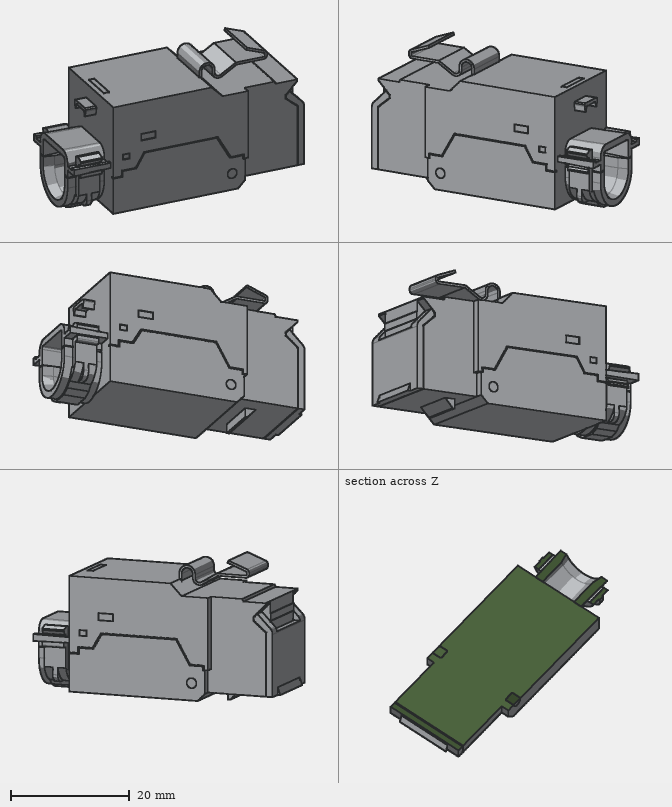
import math

import cadquery as cq


HOUSING_WIDTH = 17.5
HOUSING_TOP = 19.85
DECK_TOP = 17.8
RAMP_FRONT_Y = 18.38
RAMP_REAR_Y = 20.45
SHOULDER_REAR_Y = 25.2
FLANK_REAR_Y = 24.65
SHOULDER_BOTTOM = 5.4
FLANK_CHAMFER = 1.3

JACK_WIDTH = 14.65
JACK_BOTTOM = 1.3
JACK_REAR_Y = 35.1
JACK_LIP_TOP = 17.35
JACK_LIP_FRONT_Y = 31.05
JACK_LIP_STEP_RUN = 0.2
CATCH_FRONT_Y = 26.9
CATCH_TIP_Y = 27.35
CATCH_REAR_Y = 28.85
CATCH_TIP_Z = -0.3
CATCH_WIDTH = 7.88

CORE_WIDTH = 10.4
PAD_THICKNESS = 0.15
PAD_BOTTOM = 13.95
PAD_TOP = 15.25

SEAM_WIDTH = 0.18
SEAM_DEPTH = 0.55
SEAM_PATH = [
    (24.35, SHOULDER_BOTTOM),
    (24.35, 6.1),
    (21.9, 6.1),
    (19.45, 10.32),
    (5.8, 10.32),
    (4.25, 7.7),
    (1.65, 7.7),
    (1.65, 6.65),
    (-0.45, 6.65),
]

WINDOW_DEPTH = 0.2
WINDOWS = [
    (5.25, 12.6, 2.65, 1.22),
    (1.85, 9.7, 1.25, 0.95),
]

TAB_LENGTH = 2.0
TAB_TOP = 17.25
TAB_HALF_PROFILE = [
    (0, 16.6),
    (1.45, 16.6),
    (1.65, 15.65),
    (1.92, 15.65),
    (2.2, 16.8),
    (2.2, 17.0),
    (1.9, TAB_TOP),
    (0, TAB_TOP),
]

SLOT_WIDTH = 6.0
SLOT_FRONT_Y = 1.0
SLOT_LENGTH = 1.0
SLOT_DEPTH = 0.88
INSERT_END_GAP = 0.15

PIN_RADIUS = 0.88
PIN_LENGTH = 1.75
PIN_Y = 22.22
PIN_Z = 3.0

COVER_GAP = 0.15
COVER_REAR_Y = 36.35
COVER_CUTOUT_BOTTOM = 12.3
COVER_BEND_RADIUS = 1.3
TOE_WIDTH = 9.95
TOE_TIP_Y = 36.85
TOE_TOP = 2.62
NOTCH_TOP_Z = 17.05
NOTCH_BOTTOM_Z = 12.35
NOTCH_FRONT_Y = 32.85
NOTCH_FLAT = 0.6

CLIP_WIDTH = 8.58
CLIP_THICKNESS = 0.45
CLIP_FOOT_Z = 19.25
CLIP_LOOP_RADIUS = 1.22
CLIP_FRONT_Y = 18.4
CLIP_LOOP_Z = 20.82
CLIP_VALLEY_Z = 18.5
CLIP_VALLEY_RADIUS = 0.95
CLIP_FLAT_RADIUS = 1.3
CLIP_HEM_RADIUS = 0.45
CLIP_FLAT_Y = 25.1
CLIP_FLAT_Z = 21.05
CLIP_REAR_Y = 30.65
CLIP_HEM_Z = 22.05
CLIP_END_Y = 27.05
CLIP_END_Z = 23.4

COLLAR_LENGTH = 6.9
COLLAR_DRAFT = 1.0
COLLAR_RADIUS = 5.35
COLLAR_CENTRE_Z = 4.8
COLLAR_TOP = 11.2
COLLAR_TOP_RADIUS = 1.95
BORE_RADIUS = 4.15
BORE_TOP = 10.0
BORE_TOP_RADIUS = 0.45
GRIP_RADIUS = 3.75
MOUTH_DEPTH = 1.9
PARTING_Z = 6.65
PARTING_GAP = 0.15
PARTING_RISE = 0.25

WING_TIP_X = 7.88
WING_BOTTOM = 8.05
WING_FLOOR = 8.85
RAIL_INNER_X = 6.95
RAIL_TOP = 9.25

ARM_FRONT_Y = -5.42
ARM_LENGTH = 3.95
ARM_INNER_X = 5.45
ARM_OUTER_X = 6.5
ARM_BOTTOM = 0.9
ARM_CORNER_RADIUS = 1.4
ARM_ROOT_TOP = 3.05
HOOK_UNDERSIDE = 9.3
HOOK_TOP = 10.68
HOOK_TOP_OUTER_X = 6.35
HOOK_INNER_RADIUS = 0.5
HOOK_TIP_X = 7.45
HOOK_TIP_TOP = 10.25
HOOK_TIP_BOTTOM = 9.98
HOOK_HEEL_X = 7.1
BARB_TIP_X = 7.45
BARB_BOTTOM = 7.15
BARB_RADIUS = 0.3
TEETH = [
    (7.05, 7.45),
    (6.82, 7.35),
    (7.05, 6.95),
    (7.05, 6.7),
]
TEETH_ROOT_Z = 7.15
SCALLOP_TOP = 3.55
SCALLOP_MID = (5.6, 1.92)
SCALLOP_INNER_X = 4.02
ARM_KEEL_FRONT_Y = -3.9
ARM_KEEL_LENGTH = 0.9
CRADLE_KNEE = (3.15, 0.0)
CRADLE_BOTTOM = (1.58, -0.65)


def mirrored(body):
    """The body's copy on the other side of the plane of symmetry."""
    return body.mirror("YZ")


def block(width, front_y, rear_y, bottom, top):
    """A box centred on X = 0."""
    base = cq.Workplane("XY", origin=(0, front_y, bottom))
    return base.box(width, rear_y - front_y, top - bottom, centered=(True, False, False))


def side_profile(width, points):
    """A (Y, Z) outline extruded to a width centred on X = 0."""
    return cq.Workplane("YZ").polyline(points).close().extrude(width / 2, both=True)


def front_plane(y):
    """A workplane facing the front, at a given Y."""
    return cq.Workplane("XZ", origin=(0, y, 0))


def notch_points(offset):
    """The side notch of the jack face, moved towards the rear by an offset."""
    root_top_z = NOTCH_TOP_Z - (JACK_REAR_Y - NOTCH_FRONT_Y)
    return [
        (JACK_REAR_Y + offset, NOTCH_TOP_Z),
        (NOTCH_FRONT_Y + offset, root_top_z),
        (NOTCH_FRONT_Y + offset, root_top_z - NOTCH_FLAT),
        (JACK_REAR_Y + offset, NOTCH_BOTTOM_Z),
    ]


def jack_block():
    outline = [
        (SHOULDER_REAR_Y - FLANK_CHAMFER, JACK_BOTTOM),
        (JACK_REAR_Y, JACK_BOTTOM),
        *reversed(notch_points(0)),
        (JACK_REAR_Y, JACK_LIP_TOP),
        (JACK_LIP_FRONT_Y, JACK_LIP_TOP),
        (JACK_LIP_FRONT_Y - JACK_LIP_STEP_RUN, DECK_TOP),
        (SHOULDER_REAR_Y - FLANK_CHAMFER, DECK_TOP),
    ]
    catch = [(CATCH_FRONT_Y, JACK_BOTTOM), (CATCH_FRONT_Y, CATCH_TIP_Z)]
    catch += [(CATCH_TIP_Y, CATCH_TIP_Z), (CATCH_REAR_Y, JACK_BOTTOM)]
    core = block(CORE_WIDTH, NOTCH_FRONT_Y, JACK_REAR_Y, NOTCH_BOTTOM_Z, NOTCH_TOP_Z)
    pad = block(CORE_WIDTH, JACK_REAR_Y, JACK_REAR_Y + PAD_THICKNESS, PAD_BOTTOM, PAD_TOP)
    jack = side_profile(JACK_WIDTH, outline).union(core).union(pad)
    return jack.union(side_profile(CATCH_WIDTH, catch))


def main_block():
    outline = [
        (0, 0),
        (FLANK_REAR_Y - FLANK_CHAMFER, 0),
        (FLANK_REAR_Y, FLANK_CHAMFER),
        (FLANK_REAR_Y, SHOULDER_BOTTOM),
        (SHOULDER_REAR_Y, SHOULDER_BOTTOM),
        (SHOULDER_REAR_Y, DECK_TOP),
        (RAMP_REAR_Y, DECK_TOP),
        (RAMP_FRONT_Y, HOUSING_TOP),
        (0, HOUSING_TOP),
    ]
    return side_profile(HOUSING_WIDTH, outline)


def side_cuts():
    """Seam groove and window pockets in the -X side."""
    face = cq.Workplane("YZ", origin=(-HOUSING_WIDTH / 2, 0, 0))
    cuts = face.polyline(SEAM_PATH).offset2D(SEAM_WIDTH / 2).extrude(SEAM_DEPTH)
    for front_y, bottom, length, height in WINDOWS:
        window = face.moveTo(front_y, bottom).rect(length, height, centered=False).extrude(WINDOW_DEPTH)
        cuts = cuts.add(window)
    return cuts.combine()


def tab():
    half = front_plane(0).polyline(TAB_HALF_PROFILE).close().extrude(TAB_LENGTH)
    return half.union(mirrored(half))


def slot_block(width):
    rear_y = SLOT_FRONT_Y + SLOT_LENGTH
    return block(width, SLOT_FRONT_Y, rear_y, HOUSING_TOP - SLOT_DEPTH, HOUSING_TOP)


def make_housing(clip, pins):
    housing = main_block().union(jack_block()).union(tab())
    cuts = side_cuts()
    housing = housing.cut(cuts).cut(mirrored(cuts)).cut(slot_block(SLOT_WIDTH))
    for body in [clip, *pins]:
        housing = housing.cut(body)
    return housing


def make_insert():
    return slot_block(SLOT_WIDTH - 2 * INSERT_END_GAP)


def make_pin(side):
    """A hinge pin flush with one side of the housing; side is -1 or 1."""
    face = cq.Workplane("YZ", origin=(side * HOUSING_WIDTH / 2, 0, 0))
    return face.center(PIN_Y, PIN_Z).circle(PIN_RADIUS).extrude(-side * PIN_LENGTH)


def make_cover():
    gap = COVER_GAP
    _, root_top, root_bottom, notch_end = notch_points(gap)
    arm_tip_y = root_top[0] + NOTCH_FLAT
    outer_bend_z = root_top[1] + NOTCH_FLAT - (COVER_REAR_Y - arm_tip_y)
    outline = [
        (JACK_REAR_Y + gap, JACK_BOTTOM),
        (JACK_REAR_Y + gap, notch_end[1]),
        root_bottom,
        root_top,
        (arm_tip_y, root_top[1] + NOTCH_FLAT),
        (COVER_REAR_Y, outer_bend_z),
        (COVER_REAR_Y, JACK_BOTTOM),
    ]
    sheet = side_profile(JACK_WIDTH, outline)
    bend = cq.selectors.NearestToPointSelector((0, COVER_REAR_Y, outer_bend_z))
    sheet = sheet.edges("|X").edges(bend).fillet(COVER_BEND_RADIUS)
    cutout = block(CORE_WIDTH, NOTCH_FRONT_Y, COVER_REAR_Y, COVER_CUTOUT_BOTTOM, NOTCH_TOP_Z)
    toe = [(COVER_REAR_Y, JACK_BOTTOM), (TOE_TIP_Y, JACK_BOTTOM), (COVER_REAR_Y, TOE_TOP)]
    return sheet.cut(cutout).union(side_profile(TOE_WIDTH, toe))


def make_clip():
    loop_rear_y = CLIP_FRONT_Y + 2 * CLIP_LOOP_RADIUS
    loop_top = (CLIP_FRONT_Y + CLIP_LOOP_RADIUS, CLIP_LOOP_Z + CLIP_LOOP_RADIUS)
    corners = cq.Workplane("YZ").moveTo(CLIP_FRONT_Y, CLIP_FOOT_Z).lineTo(CLIP_FRONT_Y, CLIP_LOOP_Z)
    corners = corners.threePointArc(loop_top, (loop_rear_y, CLIP_LOOP_Z)).lineTo(loop_rear_y, CLIP_VALLEY_Z)
    corners = corners.lineTo(CLIP_FLAT_Y, CLIP_FLAT_Z).lineTo(CLIP_REAR_Y, CLIP_FLAT_Z)
    corners = corners.lineTo(CLIP_REAR_Y, CLIP_HEM_Z).lineTo(CLIP_END_Y, CLIP_END_Z)
    path = corners.wire().val()
    valley, flat_start, *hem = path.Vertices()[3:7]
    path = path.fillet(CLIP_VALLEY_RADIUS, [valley]).fillet(CLIP_FLAT_RADIUS, [flat_start])
    path = path.fillet(CLIP_HEM_RADIUS, hem)
    foot = cq.Workplane("XY", origin=(0, CLIP_FRONT_Y, CLIP_FOOT_Z)).rect(CLIP_WIDTH, CLIP_THICKNESS)
    return foot.sweep(cq.Workplane("XY").add(path))


def tube_outline(radius, top, top_radius):
    """A U closed by a flat top with rounded corners, on the collar's mouth plane."""
    return (
        front_plane(-COLLAR_LENGTH)
        .moveTo(radius, COLLAR_CENTRE_Z)
        .lineTo(radius, top - top_radius)
        .radiusArc((radius - top_radius, top), -top_radius)
        .lineTo(top_radius - radius, top)
        .radiusArc((-radius, top - top_radius), -top_radius)
        .lineTo(-radius, COLLAR_CENTRE_Z)
        .threePointArc((0, COLLAR_CENTRE_Z - radius), (radius, COLLAR_CENTRE_Z))
        .close()
    )


def bore(radius):
    return tube_outline(radius, BORE_TOP, BORE_TOP_RADIUS).extrude(-COLLAR_LENGTH)


def mouth():
    """The funnel that leads from the full bore to the narrower grip."""
    draft = math.degrees(math.atan((BORE_RADIUS - GRIP_RADIUS) / MOUTH_DEPTH))
    return tube_outline(BORE_RADIUS, BORE_TOP, BORE_TOP_RADIUS).extrude(-MOUTH_DEPTH, taper=draft)


def drafted_tube():
    outline = tube_outline(COLLAR_RADIUS, COLLAR_TOP, COLLAR_TOP_RADIUS)
    return outline.extrude(-COLLAR_LENGTH, taper=COLLAR_DRAFT)


def above_parting(offset, rise):
    """The space above a parting face that climbs from the mouth to the housing."""
    mouth_z = PARTING_Z + offset
    outline = [(-COLLAR_LENGTH, mouth_z), (0, mouth_z + rise)]
    outline += [(0, HOUSING_TOP), (-COLLAR_LENGTH, HOUSING_TOP)]
    return side_profile(HOUSING_WIDTH, outline)


def arm_block(bottom, top, inner_x, outer_x):
    """A box in the arm's stretch of the collar, on the +X side."""
    size = (outer_x - inner_x, ARM_LENGTH, top - bottom)
    return cq.Workplane("XY").box(*size, centered=False).translate((inner_x, ARM_FRONT_Y, bottom))


def make_upper_collar():
    wing_profile = [
        (0, WING_BOTTOM),
        (WING_TIP_X, WING_BOTTOM),
        (WING_TIP_X, RAIL_TOP),
        (RAIL_INNER_X, RAIL_TOP),
        (RAIL_INNER_X, WING_FLOOR),
        (0, WING_FLOOR),
    ]
    wing = front_plane(-COLLAR_LENGTH).polyline(wing_profile).close()
    wing = wing.extrude(-COLLAR_LENGTH, taper=COLLAR_DRAFT)
    wing = wing.cut(arm_block(WING_BOTTOM, RAIL_TOP, COLLAR_RADIUS, ARM_OUTER_X))
    tube = drafted_tube().intersect(above_parting(PARTING_GAP / 2, PARTING_RISE))
    return tube.union(wing).union(mirrored(wing)).cut(bore(BORE_RADIUS))


def arm_profile():
    """A workplane on the rear end of the arms, from which their outlines extrude forwards."""
    return front_plane(ARM_FRONT_Y + ARM_LENGTH)


def arm():
    """The +X arm without its barb: a hook over the wing, on a rounded foot."""
    stem = (
        arm_profile()
        .moveTo(0, ARM_BOTTOM)
        .lineTo(ARM_OUTER_X - ARM_CORNER_RADIUS, ARM_BOTTOM)
        .radiusArc((ARM_OUTER_X, ARM_BOTTOM + ARM_CORNER_RADIUS), -ARM_CORNER_RADIUS)
        .lineTo(ARM_OUTER_X, HOOK_UNDERSIDE)
        .lineTo(HOOK_HEEL_X, HOOK_UNDERSIDE)
        .lineTo(HOOK_TIP_X, HOOK_TIP_BOTTOM)
        .lineTo(HOOK_TIP_X, HOOK_TIP_TOP)
        .lineTo(HOOK_TOP_OUTER_X, HOOK_TOP)
        .lineTo(ARM_INNER_X + HOOK_INNER_RADIUS, HOOK_TOP)
        .radiusArc((ARM_INNER_X, HOOK_TOP - HOOK_INNER_RADIUS), -HOOK_INNER_RADIUS)
        .lineTo(ARM_INNER_X, ARM_ROOT_TOP)
        .lineTo(0, ARM_ROOT_TOP)
        .close()
        .extrude(ARM_LENGTH)
    )
    return stem.cut(scallop())


def scallop():
    """The wider curve of the arm's foot, on both sides of the keel."""
    cut = (
        arm_profile()
        .moveTo(ARM_OUTER_X, SCALLOP_TOP)
        .threePointArc(SCALLOP_MID, (SCALLOP_INNER_X, ARM_BOTTOM))
        .lineTo(ARM_OUTER_X, ARM_BOTTOM)
        .close()
        .extrude(ARM_LENGTH)
    )
    keel_rear_y = ARM_KEEL_FRONT_Y + ARM_KEEL_LENGTH
    return cut.cut(block(HOUSING_WIDTH, ARM_KEEL_FRONT_Y, keel_rear_y, ARM_BOTTOM, SCALLOP_TOP))


def plain_barb():
    return (
        arm_profile()
        .moveTo(ARM_OUTER_X, BARB_BOTTOM)
        .lineTo(BARB_TIP_X - BARB_RADIUS, BARB_BOTTOM)
        .radiusArc((BARB_TIP_X, BARB_BOTTOM + BARB_RADIUS), -BARB_RADIUS)
        .lineTo(BARB_TIP_X, WING_BOTTOM)
        .lineTo(ARM_OUTER_X, WING_BOTTOM)
        .close()
        .extrude(ARM_LENGTH)
    )


def toothed_barb():
    outline = [(ARM_OUTER_X, WING_BOTTOM), *TEETH, (ARM_OUTER_X, TEETH_ROOT_Z)]
    return arm_profile().polyline(outline).close().extrude(ARM_LENGTH)


def cradle():
    """The faceted block that joins the arms under the collar."""
    half = [(0, COLLAR_CENTRE_Z), (SCALLOP_INNER_X, COLLAR_CENTRE_Z), (SCALLOP_INNER_X, ARM_BOTTOM)]
    half += [CRADLE_KNEE, CRADLE_BOTTOM, (0, CRADLE_BOTTOM[1])]
    body = arm_profile().polyline(half).close().extrude(ARM_LENGTH)
    return body.union(mirrored(body))


def make_lower_collar():
    right_arm = arm().union(plain_barb())
    left_arm = mirrored(arm().union(toothed_barb()))
    tube = drafted_tube().cut(above_parting(-PARTING_GAP / 2, 0))
    body = tube.union(cradle()).union(right_arm).union(left_arm)
    return body.cut(bore(GRIP_RADIUS)).cut(mouth())


clip = make_clip()
pins = [make_pin(side) for side in (-1, 1)]
housing = make_housing(clip, pins)
insert = make_insert()
cover = make_cover()
upper_collar = make_upper_collar()
lower_collar = make_lower_collar()

result = cq.Compound.makeCompound(
    [
        housing.val(),
        insert.val(),
        *[pin.val() for pin in pins],
        cover.val(),
        clip.val(),
        upper_collar.val(),
        lower_collar.val(),
    ]
)